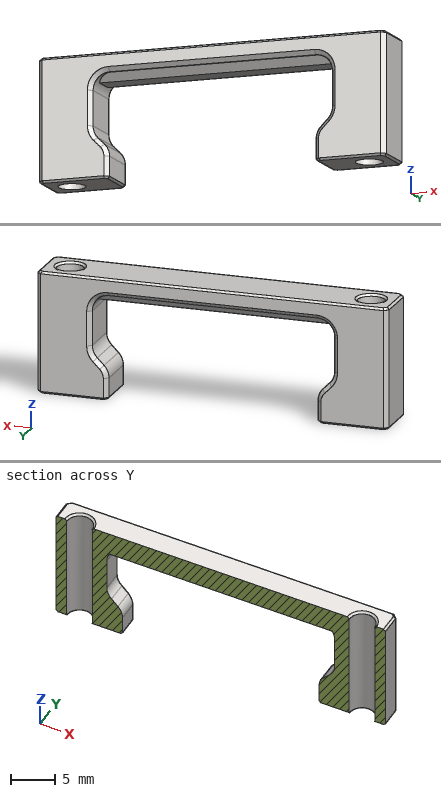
import cadquery as cq

LENGTH = 42.0
WIDTH = 6.0
HEIGHT = 14.5
SIDE_CHAMFER = 0.5
END_CHAMFER = 0.25

OPENING_LENGTH = 29.0
FOOT_GAP = 25.0
RIM_THICKNESS = 2.15
OPENING_TOP = HEIGHT - RIM_THICKNESS
CORNER_RADIUS = 2.0
FOOT_CORNER = 3.4

BAR_THICKNESS = 3.05
RIB_LEDGE = 0.25

HOLE_SPACING = 36.0
HOLE_DIAMETER = 3.2
COUNTERSINK_ANGLE = 90

MARGIN = 0.05


def grip_opening():
    """Cutter for the opening: wide between the legs, stepping in at 45 degrees to the feet."""
    half_length = OPENING_LENGTH / 2
    half_gap = FOOT_GAP / 2
    step = half_length - half_gap
    right_side = [
        (half_gap, 0),
        (half_gap, FOOT_CORNER),
        (half_length, FOOT_CORNER + step),
        (half_length, OPENING_TOP),
    ]
    left_side = [(-x, z) for x, z in reversed(right_side)]
    above_feet = cq.selectors.BoxSelector(
        (-half_length - MARGIN, -WIDTH, MARGIN),
        (half_length + MARGIN, WIDTH, HEIGHT),
    )
    return (
        cq.Workplane("XZ")
        .polyline(right_side + left_side)
        .close()
        .extrude(WIDTH / 2, both=True)
        .edges("|Y")
        .edges(above_feet)
        .fillet(CORNER_RADIUS)
    )


def opening_rims(body):
    """Edges of the opening on the front and back faces."""
    inside = cq.selectors.BoxSelector(
        (-OPENING_LENGTH / 2 - MARGIN, -WIDTH, MARGIN),
        (OPENING_LENGTH / 2 + MARGIN, WIDTH, OPENING_TOP + MARGIN),
    )
    return body.faces("<Y or >Y").edges(inside)


def bar_rib():
    """Rib under the bar, with 45 degree flanks at the front and back."""
    drop = BAR_THICKNESS - RIM_THICKNESS
    top_half_width = WIDTH / 2 - SIDE_CHAMFER - RIB_LEDGE
    bottom_half_width = top_half_width - drop
    return (
        cq.Workplane("YZ")
        .polyline([
            (-top_half_width, OPENING_TOP),
            (-bottom_half_width, OPENING_TOP - drop),
            (bottom_half_width, OPENING_TOP - drop),
            (top_half_width, OPENING_TOP),
        ])
        .close()
        .extrude(OPENING_LENGTH / 2, both=True)
    )


block = cq.Workplane("XY").box(LENGTH, WIDTH, HEIGHT, centered=(True, True, False))
handle = block.edges("|Z").chamfer(SIDE_CHAMFER).cut(grip_opening())
handle = opening_rims(handle).chamfer(SIDE_CHAMFER)
handle = handle.faces("<Z or >Z").edges().chamfer(END_CHAMFER)
handle = handle.union(bar_rib())

result = (
    handle.faces(">Z")
    .workplane(origin=(0, 0, HEIGHT))
    .pushPoints([(-HOLE_SPACING / 2, 0), (HOLE_SPACING / 2, 0)])
    .cskHole(HOLE_DIAMETER, HOLE_DIAMETER + 2 * END_CHAMFER, COUNTERSINK_ANGLE)
)